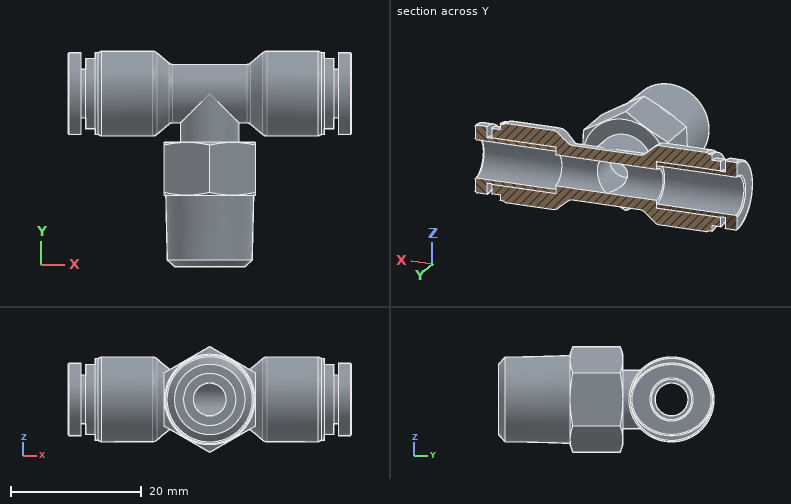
import cadquery as cq
import math


run_length = 43.4

tube_diameter = 9.0
flow_bore_diameter = 5.0

socket_diameter = 13.0
lip_diameter = 12.55
collar_diameter = 10.75
collar_end = 18.95
lip_end = 17.55
lip_bevel_outer = 17.1
lip_bevel_inner = 16.6
shoulder_outer = 8.38
shoulder_inner = 6.0
shoulder_outer_radius = 1.0
shoulder_inner_radius = 0.8

sleeve_bore_diameter = 6.15
shank_diameter = 7.5
flange_width = 12.55
flange_height = 11.1
flange_thickness = 2.05
sleeve_bevel = 0.2
sleeve_outer_end = run_length / 2
sleeve_inner_end = shoulder_outer

hex_start = 7.4
hex_length = 8.1
hex_across_flats = 14.0
hex_across_corners = hex_across_flats / math.cos(math.radians(30))
hex_face_diameter = 13.85
hex_bevel_length = 0.45
thread_length = 10.95
thread_root_diameter = 13.5
thread_tip_diameter = 13.0
thread_bevel_length = 1.05
thread_end_diameter = 10.75
stud_bore_diameter = 8.0
hex_end = hex_start + hex_length
stud_end = hex_end + thread_length


def rod_x(diameter, start, end):
    """Cylinder on the X axis between two places."""
    return cq.Workplane("YZ").workplane(offset=start).circle(diameter / 2).extrude(end - start)


def rod_y(diameter, start, end):
    """Cylinder on the -Y branch axis, placed by distance from the run axis."""
    return cq.Workplane("XZ").workplane(offset=start).circle(diameter / 2).extrude(end - start)


def round_rim(body, place, radius):
    """Fillet the circular edge that lies in the plane X = place."""
    half_slice = 0.05
    rim_zone = cq.selectors.BoxSelector(
        (place - half_slice, -socket_diameter, -socket_diameter),
        (place + half_slice, socket_diameter, socket_diameter),
    )
    return body.edges(rim_zone).edges("%CIRCLE").fillet(radius)


def make_run():
    """Solid run of the tee: central tube with shoulder, socket, lip and collar at each end."""
    right_half = [
        (shoulder_inner, tube_diameter / 2),
        (shoulder_outer, socket_diameter / 2),
        (lip_bevel_inner, socket_diameter / 2),
        (lip_bevel_outer, lip_diameter / 2),
        (lip_end, lip_diameter / 2),
        (lip_end, collar_diameter / 2),
        (collar_end, collar_diameter / 2),
        (collar_end, 0),
    ]
    left_half = [(-x, radius) for x, radius in reversed(right_half)]
    run = cq.Workplane("XY").polyline(left_half + right_half).close().revolve(360, (0, 0, 0), (1, 0, 0))
    for side in (-1, 1):
        run = round_rim(run, side * shoulder_inner, shoulder_inner_radius)
        run = round_rim(run, side * shoulder_outer, shoulder_outer_radius)
    return run


def make_tee():
    tee = make_run().union(rod_y(tube_diameter, 0, hex_start))
    tee = tee.cut(rod_x(flow_bore_diameter, -collar_end, collar_end))
    tee = tee.cut(rod_y(flow_bore_diameter, 0, hex_start))
    seat = rod_x(shank_diameter, sleeve_inner_end, collar_end)
    return tee.cut(seat).cut(seat.mirror("YZ"))


def make_sleeve(side):
    """Release sleeve at the +X end (side = 1) or the -X end (side = -1)."""
    flange = (
        cq.Workplane("YZ")
        .workplane(offset=sleeve_outer_end - flange_thickness)
        .ellipse(flange_width / 2, flange_height / 2)
        .extrude(flange_thickness)
        .faces(">X")
        .edges()
        .chamfer(sleeve_bevel)
    )
    sleeve = flange.union(rod_x(shank_diameter, sleeve_inner_end, sleeve_outer_end - flange_thickness))
    sleeve = sleeve.cut(rod_x(sleeve_bore_diameter, sleeve_inner_end, sleeve_outer_end))
    sleeve = sleeve.faces(">X").edges("%CIRCLE").chamfer(sleeve_bevel)
    return sleeve if side > 0 else sleeve.mirror("YZ")


def make_hex():
    """Hex with corners up and down, bevelled to a round face at both ends."""
    prism = (
        cq.Workplane("XZ")
        .workplane(offset=hex_start)
        .transformed(rotate=(0, 0, 90))
        .polygon(6, hex_across_corners)
        .extrude(hex_length)
    )
    face_radius = hex_face_diameter / 2
    corner_radius = hex_across_corners / 2
    bevel_envelope = (
        cq.Workplane("XY")
        .moveTo(0, -hex_start)
        .lineTo(face_radius, -hex_start)
        .lineTo(corner_radius, -hex_start - hex_bevel_length)
        .lineTo(corner_radius, -hex_end + hex_bevel_length)
        .lineTo(face_radius, -hex_end)
        .lineTo(0, -hex_end)
        .close()
        .revolve(360, (0, 0, 0), (0, 1, 0))
    )
    return prism.intersect(bevel_envelope)


def make_stud():
    thread = (
        cq.Workplane("XY")
        .moveTo(0, -hex_end)
        .lineTo(thread_root_diameter / 2, -hex_end)
        .lineTo(thread_tip_diameter / 2, -stud_end + thread_bevel_length)
        .lineTo(thread_end_diameter / 2, -stud_end)
        .lineTo(0, -stud_end)
        .close()
        .revolve(360, (0, 0, 0), (0, 1, 0))
    )
    return make_hex().union(thread).cut(rod_y(stud_bore_diameter, hex_start, stud_end))


tee = make_tee()
stud = make_stud()
sleeves = [make_sleeve(side) for side in (-1, 1)]

result = cq.Compound.makeCompound([body.solids().val() for body in (tee, stud, *sleeves)])